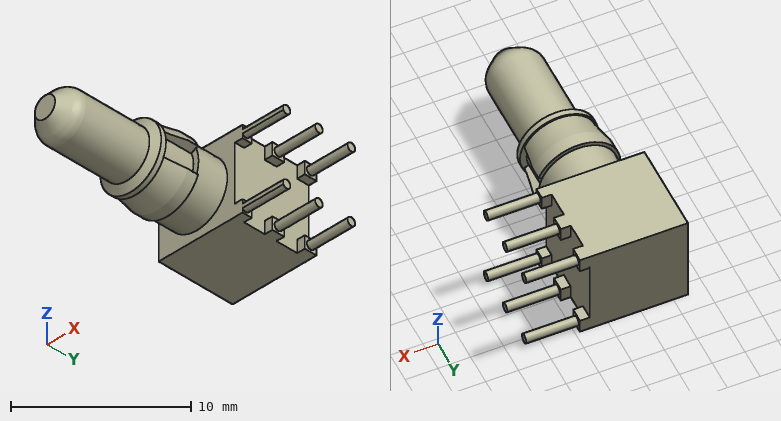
import cadquery as cq
import math


housing_x = 6.0
housing_y = 5.8
housing_z = 6.0

pin_diameter = 0.6
pin_length = 3.2
pin_pitch = 2.54
pin_inset = 0.46
pin_columns = 3
pin_row_height = housing_z / 2 - pin_inset
foot_size = 2 * pin_inset
foot_height = 0.6

shank_radius = 2.4
neck_radius = 2.0
tip_radius = 1.8
tip_end_radius = 0.8
tip_round_radius = 1.0
tip_cone_angle = math.radians(45)

shank_end = 2.25
collar_start = 4.8
collar_end = 5.18
collar_chamfer_end = 5.5
contact_length = 11.9

ring_clearance = 0.05
ring_start = shank_end + ring_clearance
ring_taper_start = 3.1
ring_radius = 2.6
ring_end_radius = 2.3
ring_taper_sag = 0.02
ring_gap_half_angle = math.radians(22)


def make_housing():
    """Square block with its round-contact axis on X = 0, Z = 0."""
    block = cq.Workplane("XY").box(housing_x, housing_y, housing_z)
    return block.translate((0, housing_y / 2, 0))


def make_foot_and_pin(y, z):
    """Square foot and round pin pointing along +X."""
    foot_start = housing_x / 2
    foot_plane = cq.Workplane("YZ", origin=(foot_start, y, z))
    foot = foot_plane.rect(foot_size, foot_size).extrude(foot_height)
    pin = foot_plane.circle(pin_diameter / 2).extrude(foot_height + pin_length)
    return foot.union(pin)


def make_pins():
    """Two rows of pins, trimmed flush with the housing front face."""
    pins = cq.Workplane("XY")
    for column in range(pin_columns):
        y = housing_y - pin_inset - column * pin_pitch
        for z in (-pin_row_height, pin_row_height):
            pins = pins.add(make_foot_and_pin(y, z))
    trim_width = housing_x + 2 * (foot_height + pin_length)
    behind_front = cq.Workplane("XY").box(
        trim_width, housing_y, housing_z, centered=(True, False, True)
    )
    return pins.combine().intersect(behind_front)


def revolve_about_y(profile):
    """Close a half profile and turn it once around the contact axis."""
    return profile.close().revolve(axisStart=(0, 0, 0), axisEnd=(0, 1, 0))


def make_contact():
    """Shank, neck groove, collar and tip turned about the Y axis."""
    round_end_radius = tip_radius - tip_round_radius * (1 - math.cos(tip_cone_angle))
    cone_length = (round_end_radius - tip_end_radius) / math.tan(tip_cone_angle)
    round_end = contact_length - cone_length
    round_start = round_end - tip_round_radius * math.sin(tip_cone_angle)
    half_angle = tip_cone_angle / 2
    round_middle = (
        tip_radius - tip_round_radius * (1 - math.cos(half_angle)),
        -round_start - tip_round_radius * math.sin(half_angle),
    )
    profile = (
        cq.Workplane("XY")
        .lineTo(shank_radius, 0)
        .lineTo(shank_radius, -shank_end)
        .lineTo(neck_radius, -shank_end)
        .lineTo(neck_radius, -collar_start)
        .lineTo(shank_radius, -collar_start)
        .lineTo(shank_radius, -collar_end)
        .lineTo(tip_radius, -collar_chamfer_end)
        .lineTo(tip_radius, -round_start)
        .threePointArc(round_middle, (round_end_radius, -round_end))
        .lineTo(tip_end_radius, -contact_length)
        .lineTo(0, -contact_length)
    )
    return revolve_about_y(profile)


def make_spring_ring():
    """Ring with a hollow taper toward the collar and a radial gap on +X."""
    taper_middle = (
        (ring_radius + ring_end_radius) / 2 - ring_taper_sag,
        -(ring_taper_start + collar_start) / 2,
    )
    profile = (
        cq.Workplane("XY")
        .moveTo(neck_radius, -ring_start)
        .lineTo(ring_radius, -ring_start)
        .lineTo(ring_radius, -ring_taper_start)
        .threePointArc(taper_middle, (ring_end_radius, -collar_start))
        .lineTo(neck_radius, -collar_start)
    )
    gap_reach = 2 * ring_radius
    gap_half_width = gap_reach * math.tan(ring_gap_half_angle)
    gap = (
        cq.Workplane("XZ")
        .lineTo(gap_reach, gap_half_width)
        .lineTo(gap_reach, -gap_half_width)
        .close()
        .extrude(contact_length)
    )
    return revolve_about_y(profile).cut(gap)


result = make_housing().union(make_pins()).union(make_contact()).union(make_spring_ring())